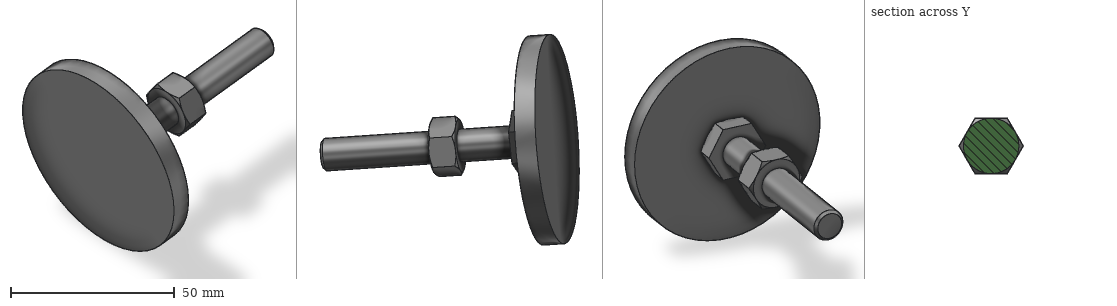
import cadquery as cq
import math


pad_diameter = 64.0
pad_thickness = 6.4

stud_end = 73.0
rod_diameter = 10.0
rod_chamfer = 0.9
collar_across_flats = 17.0
collar_thickness = 6.0
collar_gap = 0.6
ball_radius = 3.2
ball_depth = 1.6

nut_across_flats = 16.0
nut_thickness = 8.3
nut_start = 30.15

corner_chamfer_angle = math.radians(30)

collar_start = pad_thickness + collar_gap
ball_center = pad_thickness - ball_depth


def cylinder(diameter, start, end):
    """Cylinder on the Y axis between two Y positions."""
    plane = cq.Workplane("XZ", origin=(0, start, 0))
    return plane.circle(diameter / 2).extrude(start - end)


def ball():
    return cq.Workplane("XY").sphere(ball_radius).translate((0, ball_center, 0))


def hexagon(across_flats, start, thickness, chamfer_far_end):
    """Hexagonal prism with corners along X and conically chamfered ends."""
    corner_radius = across_flats / math.sqrt(3)
    flat_radius = across_flats / 2
    drop = (corner_radius - flat_radius) * math.tan(corner_chamfer_angle)
    end = start + thickness
    prism = cq.Workplane("XZ", origin=(0, start, 0)).polygon(6, 2 * corner_radius).extrude(-thickness)

    outline = cq.Workplane("XY").moveTo(0, start).lineTo(flat_radius, start)
    outline = outline.lineTo(corner_radius, start + drop)
    if chamfer_far_end:
        outline = outline.lineTo(corner_radius, end - drop).lineTo(flat_radius, end)
    else:
        outline = outline.lineTo(corner_radius, end)
    envelope = outline.lineTo(0, end).close().revolve(360, (0, 0, 0), (0, 1, 0))
    return prism.intersect(envelope)


def make_pad():
    """Round pad with a spherical socket for the stud's ball."""
    return cylinder(pad_diameter, 0, pad_thickness).cut(ball())


def make_stud():
    """Threaded rod, collar and ball in one piece."""
    rod = cylinder(rod_diameter, collar_start, stud_end).faces(">Y").chamfer(rod_chamfer)
    collar = hexagon(collar_across_flats, collar_start, collar_thickness, chamfer_far_end=False)
    return rod.union(collar).union(ball())


def make_nut():
    """Lock nut chamfered at both ends, with a bore that fits the rod."""
    blank = hexagon(nut_across_flats, nut_start, nut_thickness, chamfer_far_end=True)
    return blank.cut(cylinder(rod_diameter, nut_start, nut_start + nut_thickness))


pad = make_pad()
stud = make_stud()
nut = make_nut()

result = cq.Compound.makeCompound([pad.val(), stud.val(), nut.val()])